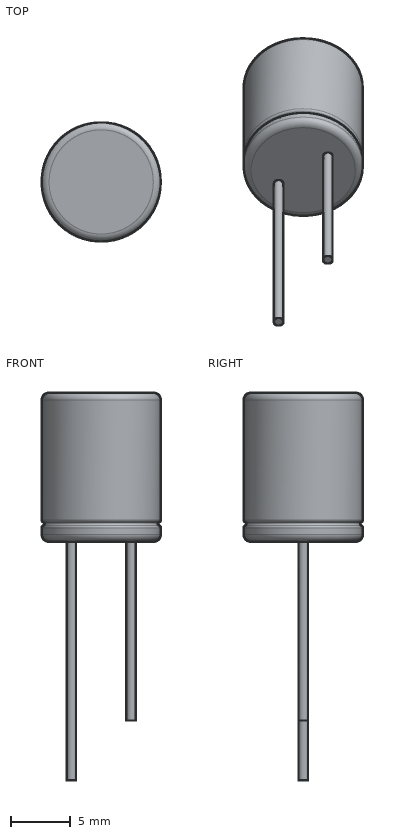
import cadquery as cq
import math


total_height = 32.5
can_diameter = 10.0
can_height = 12.5
can_radius = can_diameter / 2

flat_end_diameter = 8.75
rim_radius = (can_diameter - flat_end_diameter) / 2

groove_bottom_height = 1.17
groove_width = 0.68
groove_depth = 0.245
groove_floor_radius = 0.13
groove_half_width = groove_width / 2
groove_centre_height = groove_bottom_height + groove_half_width

groove_turn = 2 * math.atan(groove_depth / groove_half_width)
groove_radii_sum = groove_half_width / math.sin(groove_turn)
groove_lip_radius = groove_radii_sum - groove_floor_radius

lead_diameter = 0.8
lead_pitch = 5.0
long_lead_length = total_height - can_height
short_lead_length = 14.98


def make_groove_ring():
    """Ring of material removed by the crimp groove."""
    floor_radius = can_radius - groove_depth
    lip_centre_radius = can_radius - groove_lip_radius
    joint_radius = lip_centre_radius + groove_lip_radius * math.cos(groove_turn)
    joint_offset = groove_floor_radius * math.sin(groove_turn)
    lip_mid_radius = lip_centre_radius + groove_lip_radius * math.cos(groove_turn / 2)
    lip_mid_offset = groove_half_width - groove_lip_radius * math.sin(groove_turn / 2)
    profile = (
        cq.Workplane("XZ", origin=(0, 0, groove_centre_height))
        .moveTo(can_radius, -groove_half_width)
        .threePointArc((lip_mid_radius, -lip_mid_offset), (joint_radius, -joint_offset))
        .threePointArc((floor_radius, 0), (joint_radius, joint_offset))
        .threePointArc((lip_mid_radius, lip_mid_offset), (can_radius, groove_half_width))
        .close()
    )
    return profile.revolve(360, (0, 0, 0), (0, 1, 0))


def make_can():
    """Closed round can with rounded rims and a crimp groove near its underside."""
    cylinder = cq.Workplane("XY").circle(can_radius).extrude(can_height)
    rounded = cylinder.faces("<Z or >Z").edges().fillet(rim_radius)
    return rounded.cut(make_groove_ring()).solids()


def make_lead(x, length):
    """Round lead hanging from the underside of the can."""
    return cq.Workplane("XY").center(x, 0).circle(lead_diameter / 2).extrude(-length)


can = make_can()

leads = []
for lead_x, lead_length in (
    (-lead_pitch / 2, long_lead_length),
    (lead_pitch / 2, short_lead_length),
):
    leads.append(make_lead(lead_x, lead_length))

result = cq.Compound.makeCompound([can.val(), *[lead.val() for lead in leads]])